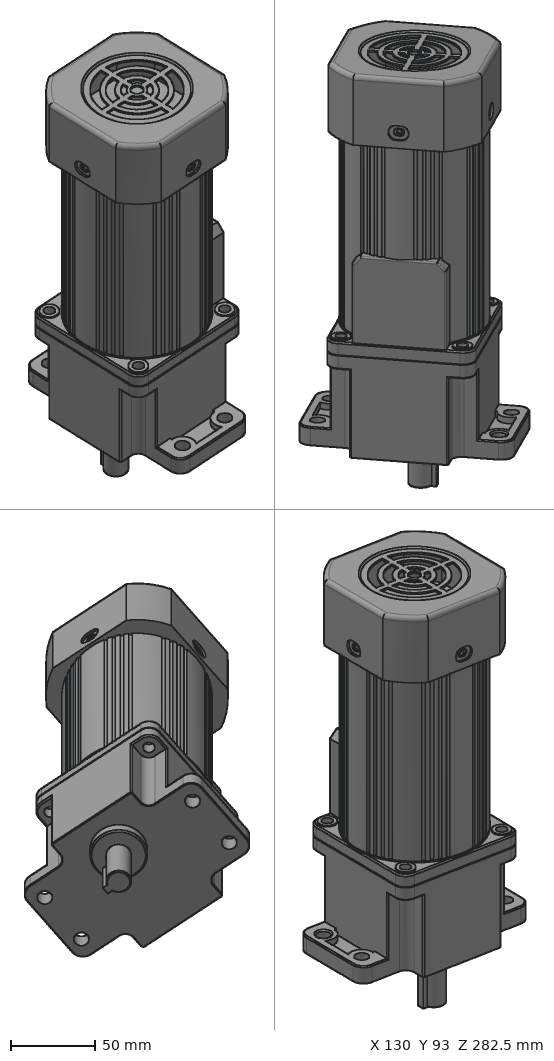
import cadquery as cq
import math

gearbox_height = 65.0
flange_underside = 55.7
motor_flange_top = 73.3
can_bottom = 74.2
cap_bottom = 200.0
cap_top = 244.5
boss_length = 7.0
shaft_end = -38.0

flange_width = 90.0
flange_corner = 8.0
edge_chamfer = 1.0
joint_chamfer = 0.4
bolt_circle = 104.0
bolt_hole = 7.0
bolt_boss = 12.0

relief_wall = 30.0
relief_fillet = 6.0
relief_chamfer = 1.0
base_chamfer = 0.5

foot_span = 130.0
foot_width = 60.0
foot_height = 12.0
foot_corner = 8.0
foot_chamfer = 0.8
foot_hole = 9.0
foot_hole_span = 110.0
foot_hole_pitch = 36.0
foot_hole_bevel = 1.0
foot_pocket_outer = 59.5
foot_pocket_clearance = 8.5
foot_pocket_depth = 4.0

shaft_offset = -18.0
shaft_diameter = 15.0
boss_diameter = 34.0
shaft_chamfer = 0.8
key_width = 5.0
key_length = 25.0
key_reach = 10.0

collar_radius = 45.0
can_radius = 44.7
groove_groups = 8
grooves_per_group = 4
groove_pitch_degrees = 6.5
groove_width = 2.0

box_width = 57.0
box_top = 128.8
box_chamfer = 5.2
box_edge_fillet = 1.0

cap_width = 93.0
cap_corner_radius = 54.0
cap_fillet = 3.0
grille_radius = 33.2
grille_floor_radius = 32.0
grille_recess = 1.0
vent_rings = [(6.2, 9.6), (13.1, 18.6), (22.0, 27.8)]
grille_thickness = 1.2
grille_rim_radius = 35.0
cap_wall = 4.4
cap_roof = 1.0
cavity_floor = 212.5
vent_spoke = 4.0
vent_center_radius = 4.0
screw_height = 9.7
screw_recess_length = 12.4
screw_recess_width = 9.3
screw_recess_depth = 1.5
screw_slot_length = 6.2
screw_slot_width = 4.6
screw_slot_depth = 1.0
screw_hole = 3.2
screw_hole_depth = 2.0


def square_corners(half_pitch):
    """Corner points of a square centred on the Z axis."""
    return [(sx * half_pitch, sy * half_pitch) for sx in (-1, 1) for sy in (-1, 1)]


def block(width_x, width_y, bottom, top):
    """Box centred on the Z axis between two heights."""
    return cq.Workplane("XY").workplane(offset=bottom).rect(width_x, width_y).extrude(top - bottom)


def rod(diameter, bottom, top, x=0.0, y=0.0):
    """Vertical cylinder between two heights."""
    return (
        cq.Workplane("XY").workplane(offset=bottom)
        .center(x, y).circle(diameter / 2).extrude(top - bottom)
    )


def flange_plate(bottom, top):
    return block(flange_width, flange_width, bottom, top).edges("|Z").fillet(flange_corner)


def bolt_points():
    return square_corners(bolt_circle / 2 * math.cos(math.radians(45)))


def drill_bolt_holes(body, bottom, top):
    for x, y in bolt_points():
        body = body.cut(rod(bolt_hole, bottom, top, x, y))
    return body


def wall_edges():
    """Selector for the eight vertical edges where the relief walls meet the case sides."""
    margin = 1.0
    selector = None
    for sx, sy in square_corners(1):
        for x, y in ((flange_width / 2, relief_wall), (relief_wall, flange_width / 2)):
            spot = cq.selectors.BoxSelector(
                (sx * x - margin, sy * y - margin, 0),
                (sx * x + margin, sy * y + margin, gearbox_height),
            )
            selector = spot if selector is None else selector + spot
    return selector


def make_gear_case():
    """Square case under a rounded flange, with a relieved corner under each bolt of the flange."""
    relief_size = flange_width / 2
    relief_center = relief_wall + relief_size / 2
    case_top = flange_underside + edge_chamfer
    case = block(flange_width, flange_width, 0, case_top)
    for x, y in square_corners(relief_center):
        relief = block(relief_size, relief_size, 0, case_top).edges("|Z").fillet(relief_fillet)
        case = case.cut(relief.translate((x, y, 0)))
    case = case.edges(wall_edges()).chamfer(relief_chamfer)
    case = case.faces("<Z").edges().chamfer(base_chamfer)
    flange = flange_plate(flange_underside, gearbox_height)
    flange = flange.faces("<Z").edges().chamfer(edge_chamfer)
    flange = flange.faces(">Z").edges().chamfer(joint_chamfer)
    return case.union(flange)


def make_foot_plate():
    plate = block(foot_span, foot_width, 0, foot_height).edges("|Z").fillet(foot_corner)
    return plate.faces(">Z").edges().chamfer(foot_chamfer).faces("<Z").edges().chamfer(base_chamfer)


def foot_hole_points():
    return [(sx * foot_hole_span / 2, sy * foot_hole_pitch / 2) for sx, sy in square_corners(1)]


def make_foot_pockets():
    """Shallow pockets on both feet, running between clearance circles around the holes."""
    pockets = block(
        2 * foot_pocket_outer, foot_hole_pitch, foot_height - foot_pocket_depth, foot_height
    ).cut(block(flange_width, foot_width, 0, foot_height))
    for x, y in foot_hole_points():
        pockets = pockets.cut(rod(2 * foot_pocket_clearance, 0, foot_height, x, y))
    return pockets


def make_hole_bevel():
    """Bevel on the one beveled foot hole, at -X and +Y."""
    return (
        cq.Workplane("XY").workplane(offset=foot_height)
        .center(-foot_hole_span / 2, foot_hole_pitch / 2).circle(foot_hole / 2 + foot_hole_bevel)
        .workplane(offset=-foot_hole_bevel).circle(foot_hole / 2).loft()
    )


def make_output_shaft():
    """Boss, shaft and key pointing down, the key on the -X side of the shaft."""
    boss = rod(boss_diameter, -boss_length, 0).faces("<Z").edges().chamfer(edge_chamfer)
    shaft = rod(shaft_diameter, shaft_end, 0).faces("<Z").edges().chamfer(shaft_chamfer)
    key = (
        cq.Workplane("YZ")
        .moveTo(-key_width / 2, shaft_end)
        .lineTo(key_width / 2, shaft_end)
        .lineTo(key_width / 2, shaft_end + key_length - key_width / 2)
        .threePointArc(
            (0, shaft_end + key_length),
            (-key_width / 2, shaft_end + key_length - key_width / 2),
        )
        .close()
        .extrude(-key_reach)
    )
    return boss.union(shaft).union(key).translate((0, shaft_offset, 0))


def make_gearbox():
    gearbox = make_gear_case().union(make_foot_plate()).cut(make_foot_pockets())
    for x, y in foot_hole_points():
        gearbox = gearbox.cut(rod(foot_hole, 0, foot_height, x, y))
    gearbox = gearbox.cut(make_hole_bevel())
    gearbox = drill_bolt_holes(gearbox, flange_underside, gearbox_height)
    return gearbox.union(make_output_shaft())


def make_can():
    """Round can with a group of half-round grooves between each pair of smooth lands."""
    can = rod(2 * can_radius, can_bottom, cap_bottom)
    group_pitch = 360 / groove_groups
    first_angle = (group_pitch - (grooves_per_group - 1) * groove_pitch_degrees) / 2
    for group in range(groove_groups):
        for index in range(grooves_per_group):
            angle = math.radians(group * group_pitch + first_angle + index * groove_pitch_degrees)
            x = can_radius * math.cos(angle)
            y = can_radius * math.sin(angle)
            can = can.cut(rod(groove_width, can_bottom, cap_bottom, x, y))
    return can


def make_terminal_box():
    depth = flange_width / 2
    box = block(box_width, depth, motor_flange_top, box_top)
    box = box.faces(">Z").edges("|Y").chamfer(box_chamfer)
    box = box.faces(">Y").edges("not <Z").fillet(box_edge_fillet)
    return box.translate((0, depth / 2, 0))


def make_motor():
    """Flange with raised bolt bosses and a thin collar, carrying the can and the terminal box."""
    flange = flange_plate(gearbox_height, motor_flange_top)
    flange = flange.faces(">Z").edges().chamfer(edge_chamfer)
    flange = flange.union(rod(2 * collar_radius, motor_flange_top, can_bottom))
    for x, y in bolt_points():
        flange = flange.union(rod(bolt_boss, motor_flange_top, can_bottom, x, y))
    flange = drill_bolt_holes(flange, gearbox_height, can_bottom)
    return flange.union(make_can()).union(make_terminal_box())


def make_vents():
    """Ring slots interrupted by a cross of spokes, around a round centre hole."""
    floor = cap_top - grille_recess - grille_thickness
    vents = rod(2 * vent_center_radius, floor, cap_top)
    spokes = block(cap_width, vent_spoke, floor, cap_top).union(
        block(vent_spoke, cap_width, floor, cap_top)
    )
    for inner, outer in vent_rings:
        ring = rod(2 * outer, floor, cap_top).cut(rod(2 * inner, floor, cap_top))
        vents = vents.union(ring.cut(spokes))
    return vents


def make_grille_recess():
    """Shallow round recess with a sloping rim."""
    return (
        cq.Workplane("XY").workplane(offset=cap_top).circle(grille_radius)
        .workplane(offset=-grille_recess).circle(grille_floor_radius).loft()
    )


def make_screw_recess():
    """Stepped oblong recess with a small screw hole in the -Y side of the cap."""
    face = cq.Workplane("XZ", origin=(0, -cap_width / 2, cap_bottom + screw_height))
    outer = face.slot2D(screw_recess_length, screw_recess_width).extrude(-screw_recess_depth)
    inner = face.slot2D(screw_slot_length, screw_slot_width).extrude(
        -screw_recess_depth - screw_slot_depth
    )
    hole = face.circle(screw_hole / 2).extrude(
        -screw_recess_depth - screw_slot_depth - screw_hole_depth
    )
    return outer.union(inner).union(hole)


def cap_outline(inset, bottom, top):
    """Cap outline, a square with bulging corners, shrunk by an inset."""
    width = cap_width - 2 * inset
    return block(width, width, bottom, top).intersect(rod(2 * (cap_corner_radius - inset), bottom, top))


def make_cavity():
    """Hollow under the roof, with the grille plate hanging into it."""
    roof_bottom = cap_top - cap_roof
    grille_bottom = cap_top - grille_recess - grille_thickness
    grille_rim = rod(2 * grille_rim_radius, grille_bottom, roof_bottom)
    return cap_outline(cap_wall, cavity_floor, roof_bottom).cut(grille_rim)


def make_cap():
    cap = cap_outline(0, cap_bottom, cap_top).faces(">Z").edges().fillet(cap_fillet)
    cap = cap.cut(make_cavity()).cut(make_grille_recess()).cut(make_vents())
    screw_recess = make_screw_recess()
    for quarter in range(4):
        cap = cap.cut(screw_recess.rotate((0, 0, 0), (0, 0, 1), 90 * quarter))
    return cap


gearbox = make_gearbox()
motor = make_motor()
cap = make_cap()

result = cq.Compound.makeCompound([gearbox.val(), motor.val(), cap.val()])